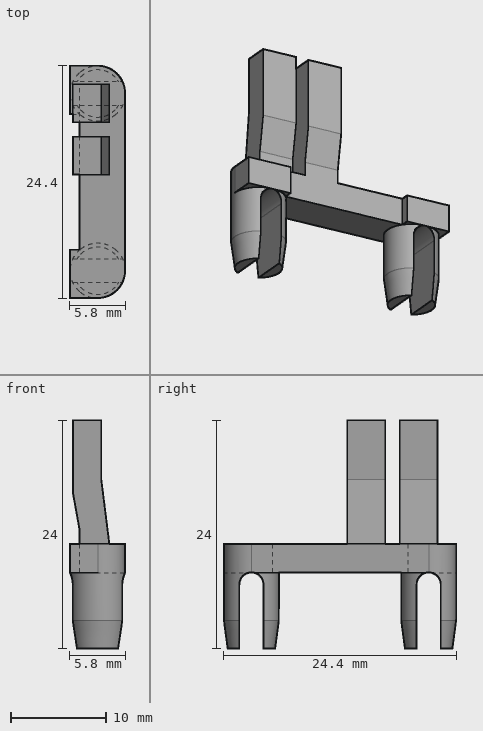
import cadquery as cq

bar_width = 5.8
bar_length = 24.4
bar_thickness = 3.0
corner_radius = bar_width / 2
recess_depth = 1.0
end_pad_length = 5.1

leg_radius = bar_width / 2
leg_tip_radius = 2.5
leg_straight_length = 5.0
leg_taper_length = 3.0
leg_length = leg_straight_length + leg_taper_length
leg_offset = bar_length / 2 - leg_radius
slot_width = 2.5

prong_width = 4.0
prong_gap = 1.5
prong_thickness = 3.0
prong_height = 13.0
prong_end_margin = 1.95
prong_top_x = 0.3
prong_root_x = recess_depth
prong_root_thickness = 3.15
front_bend_start = 1.5
front_bend_end = 5.4
back_bend_end = 6.8


def make_bar():
    """Bar with rounded +X corners and a recess between the two end pads."""
    recess_length = bar_length - 2 * end_pad_length
    bar = (
        cq.Workplane("XY")
        .box(bar_width, bar_length, bar_thickness, centered=(False, True, False))
        .edges("|Z and >X")
        .fillet(corner_radius)
    )
    recess = cq.Workplane("XY").box(
        recess_depth, recess_length, bar_thickness, centered=(False, True, False)
    )
    return bar.cut(recess)


def make_leg(center_y):
    """Round leg with a tapered tip, split along X by a round-topped slot."""
    leg = (
        cq.Workplane("XZ", origin=(leg_radius, center_y, 0))
        .moveTo(0, 0)
        .lineTo(leg_radius, 0)
        .lineTo(leg_radius, -leg_straight_length)
        .lineTo(leg_tip_radius, -leg_length)
        .lineTo(0, -leg_length)
        .close()
        .revolve(360, (0, 0, 0), (0, 1, 0))
    )
    half_slot = slot_width / 2
    slot = (
        cq.Workplane("YZ", origin=(0, center_y, 0))
        .moveTo(-half_slot, -leg_length)
        .lineTo(-half_slot, -half_slot)
        .threePointArc((0, 0), (half_slot, -half_slot))
        .lineTo(half_slot, -leg_length)
        .close()
        .extrude(bar_width)
    )
    return leg.cut(slot)


def make_prong(far_y):
    """Cranked prong reaching from far_y toward -Y, rooted on the bar's top face."""
    root_z = bar_thickness
    top_z = root_z + prong_height
    return (
        cq.Workplane("XZ", origin=(0, far_y, 0))
        .moveTo(prong_root_x, root_z)
        .lineTo(prong_root_x, root_z + front_bend_start)
        .lineTo(prong_top_x, root_z + front_bend_end)
        .lineTo(prong_top_x, top_z)
        .lineTo(prong_top_x + prong_thickness, top_z)
        .lineTo(prong_top_x + prong_thickness, root_z + back_bend_end)
        .lineTo(prong_root_x + prong_root_thickness, root_z)
        .close()
        .extrude(prong_width)
    )


result = make_bar()
for side in (-1, 1):
    result = result.union(make_leg(side * leg_offset))
for index in range(2):
    prong_far_y = bar_length / 2 - prong_end_margin - index * (prong_width + prong_gap)
    result = result.union(make_prong(prong_far_y))